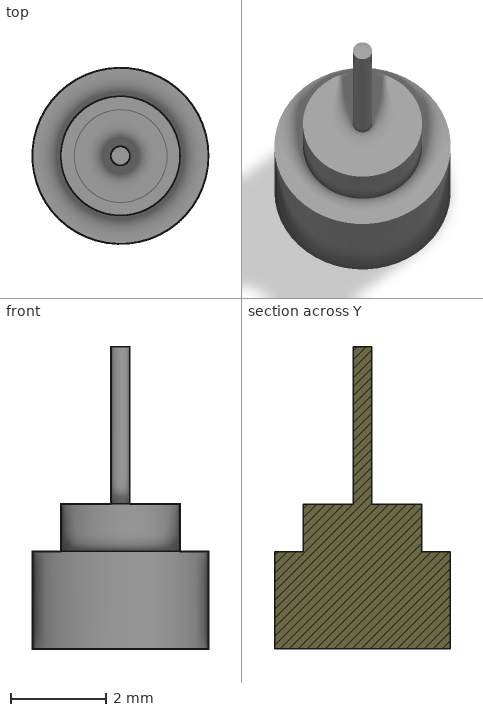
import cadquery as cq

total_height = 6.35
base_diameter = 3.7
base_height = 2.05
collar_diameter = 2.5
collar_height = 1.0
insert_diameter = 1.95
pin_diameter = 0.4

collar_top = base_height + collar_height
pin_height = total_height - collar_top


def cylinder(diameter, height, bottom):
    """Upright cylinder on the Z axis, starting at the given height."""
    return cq.Workplane("XY").workplane(offset=bottom).circle(diameter / 2).extrude(height)


base = cylinder(base_diameter, base_height, 0)
collar = cylinder(collar_diameter, collar_height, base_height)

insert = cylinder(insert_diameter, collar_height, base_height)
collar_ring = collar.cut(insert)

pin = cylinder(pin_diameter, pin_height, collar_top)

result = base.union(collar_ring, clean=False).union(insert, clean=False).union(pin, clean=False)